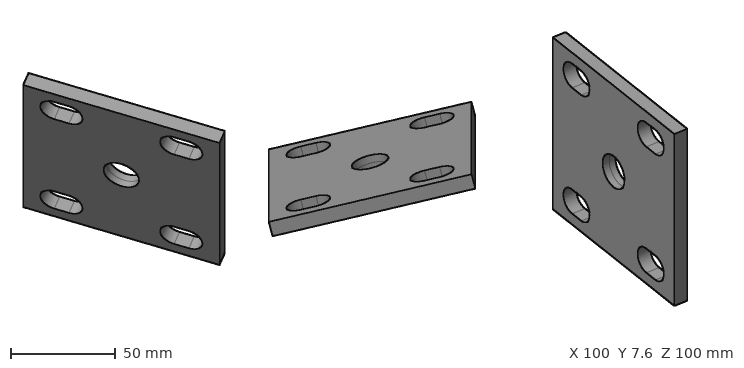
import cadquery as cq

plate_side = 100.0
plate_thickness = 7.6

center_hole_diameter = 18.0

slot_length = 21.5
slot_height = 14.0
slot_spacing_x = 61.0
slot_spacing_z = 73.2

plate = cq.Workplane("XZ").box(plate_side, plate_side, plate_thickness)

center_hole = (
    cq.Workplane("XZ")
    .circle(center_hole_diameter / 2)
    .extrude(plate_thickness, both=True)
)

corner_slots = (
    cq.Workplane("XZ")
    .rarray(slot_spacing_x, slot_spacing_z, 2, 2)
    .slot2D(slot_length, slot_height)
    .extrude(plate_thickness, both=True)
)

result = plate.cut(center_hole).cut(corner_slots)